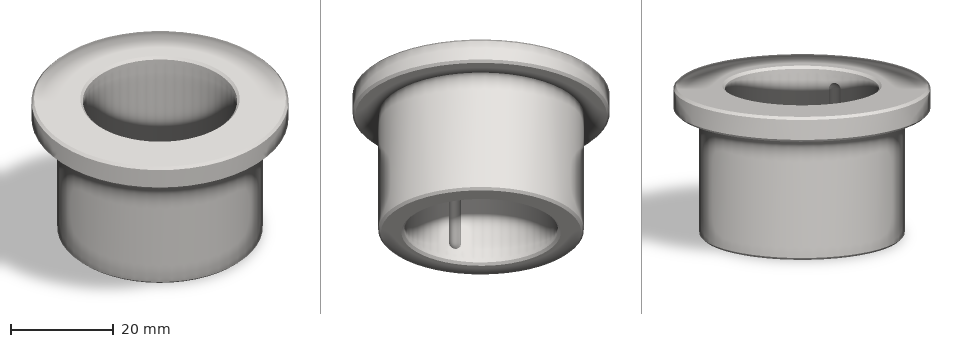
import cadquery as cq

total_height = 30
flange_diameter = 50
flange_thickness = 5
sleeve_diameter = 40
bore_diameter = 30
edge_chamfer = 0.5

groove_diameter = 2.5
groove_end_margin = 3

sleeve_height = total_height - flange_thickness


def build_bushing():
    sleeve = cq.Workplane("XY").circle(sleeve_diameter / 2).extrude(sleeve_height)
    sleeve = sleeve.faces("<Z").edges().chamfer(edge_chamfer)
    flange = (
        cq.Workplane("XY", origin=(0, 0, sleeve_height))
        .circle(flange_diameter / 2)
        .extrude(flange_thickness)
        .edges()
        .chamfer(edge_chamfer)
    )
    bore = cq.Workplane("XY").circle(bore_diameter / 2).extrude(total_height)
    body = sleeve.union(flange).cut(bore)
    bore_rims = cq.selectors.RadiusNthSelector(0)
    return body.faces("<Z or >Z").edges(bore_rims).chamfer(edge_chamfer)


def build_groove():
    radius = groove_diameter / 2
    low_centre = groove_end_margin + radius
    high_centre = total_height - low_centre
    axis_x = bore_diameter / 2
    groove = (
        cq.Workplane("XY", origin=(axis_x, 0, low_centre))
        .circle(radius)
        .extrude(high_centre - low_centre)
    )
    for end_z in (low_centre, high_centre):
        groove = groove.union(cq.Workplane("XY", origin=(axis_x, 0, end_z)).sphere(radius))
    return groove


result = build_bushing().cut(build_groove())